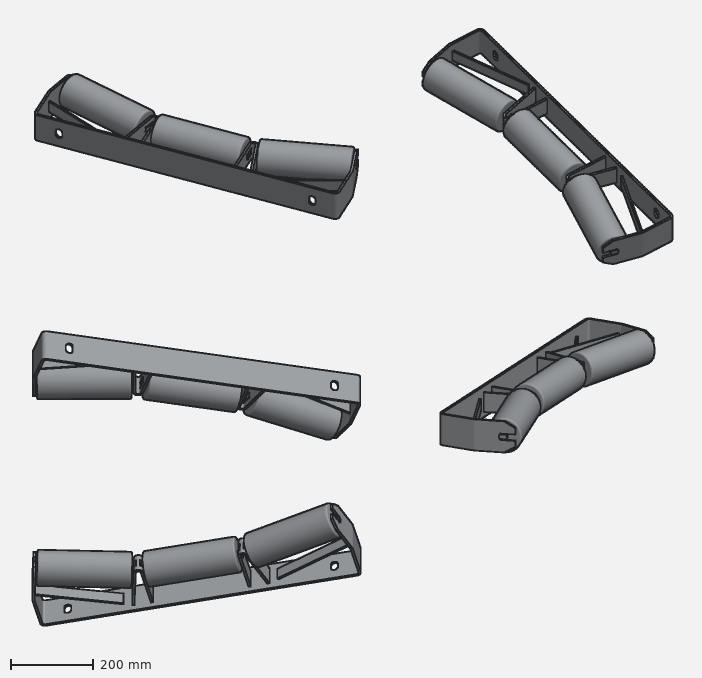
import cadquery as cq
import math

frame_length = 800.0
strip_width = 80.0
thickness = 6.0
half_length = frame_length / 2

tilt = 15.0
roller_diameter = 89.0
roller_length = 230.0
roller_edge_fillet = 5.0
axle_diameter = 20.0
axle_flat_width = 12.0
axle_slot_width = 17.0
shoulder_gap = 2.0
support_gap = 238.0
middle_axis_y = 98.0
side_center_x = 261.0
side_center_y = 134.0

corner_radius = 12.0
cheek_above_axis = 30.0
cheek_chamfer_along = 26.0
cheek_chamfer_across = 15.0
mount_slot_x = 333.0
mount_slot_width = 18.0
mount_slot_length = 27.0

bracket_width = 50.0
bracket_top_y = 126.0

brace_width = 32.0
brace_thickness = 5.0
brace_wall_y = 88.0
brace_angle = 21.6

sin_tilt = math.sin(math.radians(tilt))
cos_tilt = math.cos(math.radians(tilt))
tan_tilt = math.tan(math.radians(tilt))
half_gap = support_gap / 2
axle_length = support_gap + 2 * thickness


def side_point(along, across):
    """Point (x, y) on the right: along the tilted roller axis (outwards) and across it (upwards)."""
    x = side_center_x + along * cos_tilt - across * sin_tilt
    y = side_center_y + along * sin_tilt + across * cos_tilt
    return (x, y)


def place_right(body):
    """Move a body from the untilted, centred roller position to the right roller position."""
    turned = body.rotate((0, 0, 0), (0, 0, 1), tilt)
    return turned.translate((side_center_x, side_center_y, 0))


def extrude_strip(outline, width):
    return outline.close().extrude(width / 2, both=True)


def mirrored(body):
    return body.mirror("YZ")


def make_rod(diameter, length):
    """Cylinder along X, centred on the origin."""
    profile = cq.Workplane(cq.Plane(origin=(-length / 2, 0, 0), xDir=(0, 0, 1), normal=(1, 0, 0)))
    return profile.circle(diameter / 2).extrude(length)


def make_flattened_rod(width):
    """Axle-sized rod that reaches through both support plates, with flats at Z = +-width / 2."""
    rod = make_rod(axle_diameter, axle_length)
    return rod.intersect(cq.Workplane("XY").box(axle_length, axle_diameter, width))


def make_roller():
    shell = make_rod(roller_diameter, roller_length).edges("%CIRCLE").fillet(roller_edge_fillet)
    round_axle = make_rod(axle_diameter, support_gap - 2 * shoulder_gap)
    return shell.union(round_axle).union(make_flattened_rod(axle_flat_width))


def make_axle_slots(open_length):
    """Cutter for the slots, open upwards (+Y), that hold both ends of an axle."""
    channel = cq.Workplane("XY").box(
        axle_length, open_length, axle_slot_width, centered=(True, False, True)
    )
    return make_flattened_rod(axle_slot_width).union(channel)


def make_cheek_trim():
    """Cutters for the two bevelled corners at the free end of the right cheek."""
    trim = cq.Workplane("YZ", origin=(half_gap - thickness, 0, 0))
    edge = strip_width / 2
    for side in (1, -1):
        trim = trim.polyline([
            (cheek_above_axis, side * edge),
            (cheek_above_axis - cheek_chamfer_along, side * edge),
            (cheek_above_axis, side * (edge - cheek_chamfer_across)),
        ]).close()
    return place_right(trim.extrude(3 * thickness))


def round_bend(strip, corner, radius):
    """Round the strip edge parallel to Z that passes through an (x, y) corner."""
    edge_finder = cq.selectors.NearestToPointSelector((corner[0], corner[1], 0))
    return strip.edges(edge_finder).fillet(radius)


def make_frame():
    inner_x = half_length - thickness
    outer_along = half_gap + thickness
    outer_bend_y = side_center_y + (outer_along - (half_length - side_center_x) * cos_tilt) / sin_tilt
    inner_bend_y = side_center_y + (half_gap - (inner_x - side_center_x) * cos_tilt) / sin_tilt
    outer_tip = side_point(outer_along, cheek_above_axis)
    inner_tip = side_point(half_gap, cheek_above_axis)

    half_outline = (
        cq.Workplane("XY")
        .moveTo(0, 0)
        .lineTo(half_length - corner_radius, 0)
        .radiusArc((half_length, corner_radius), -corner_radius)
        .lineTo(half_length, outer_bend_y)
        .lineTo(*outer_tip)
        .lineTo(*inner_tip)
        .lineTo(inner_x, inner_bend_y)
        .lineTo(inner_x, corner_radius)
        .radiusArc((half_length - corner_radius, thickness), corner_radius - thickness)
        .lineTo(0, thickness)
    )
    half = extrude_strip(half_outline, strip_width)
    half = round_bend(half, (half_length, outer_bend_y), corner_radius)
    half = round_bend(half, (inner_x, inner_bend_y), corner_radius - thickness)
    half = half.cut(make_cheek_trim())
    half = half.cut(place_right(make_axle_slots(2 * cheek_above_axis)))
    frame = half.union(mirrored(half))

    mount_slots = (
        cq.Workplane("XZ")
        .pushPoints([(-mount_slot_x, 0), (mount_slot_x, 0)])
        .slot2D(mount_slot_length, mount_slot_width, 90)
        .extrude(-thickness)
    )
    return frame.cut(mount_slots)


def make_bracket():
    """Right bracket: upright leg for the middle roller, bend, tilted leg for the side roller."""
    upright_inner = half_gap
    upright_outer = half_gap + thickness
    tilted_face_x = side_center_x - half_gap / cos_tilt + (side_center_y - bracket_top_y) * tan_tilt
    outer_radius = (tilted_face_x - upright_inner) * cos_tilt / (1 + cos_tilt - sin_tilt)
    inner_radius = outer_radius - thickness
    bend_x = upright_inner + outer_radius
    bend_y = bracket_top_y - outer_radius

    foot_across = (thickness - side_center_y + (half_gap + thickness) * sin_tilt) / cos_tilt
    roller_side_foot = side_point(-half_gap, foot_across)
    bend_side_foot = side_point(-half_gap - thickness, foot_across)

    outline = (
        cq.Workplane("XY")
        .moveTo(upright_inner, thickness)
        .lineTo(upright_inner, bend_y)
        .threePointArc(
            (bend_x, bracket_top_y),
            (bend_x + outer_radius * cos_tilt, bend_y + outer_radius * sin_tilt),
        )
        .lineTo(*roller_side_foot)
        .lineTo(*bend_side_foot)
        .lineTo(bend_x + inner_radius * cos_tilt, bend_y + inner_radius * sin_tilt)
        .threePointArc((bend_x, bend_y + inner_radius), (upright_outer, bend_y))
        .lineTo(upright_outer, thickness)
    )
    bracket = extrude_strip(outline, bracket_width)
    middle_slots = make_axle_slots(bracket_top_y).translate((0, middle_axis_y, 0))
    bracket = bracket.cut(middle_slots)
    return bracket.cut(place_right(make_axle_slots(bracket_top_y)))


def make_brace():
    """Right brace: flat bar from the side wall down to the base plate."""
    slope = math.radians(brace_angle)
    rise = brace_thickness / 2 / math.cos(slope)
    wall_x = half_length - thickness
    foot_x = wall_x - (brace_wall_y - rise - thickness) / math.tan(slope)
    outline = cq.Workplane("XY").polyline([
        (wall_x, brace_wall_y + rise),
        (foot_x - brace_thickness * math.sin(slope), thickness + brace_thickness * math.cos(slope)),
        (foot_x, thickness),
        (wall_x, brace_wall_y - rise),
    ])
    return extrude_strip(outline, brace_width)


frame = make_frame()
right_bracket = make_bracket()
right_brace = make_brace()
middle_roller = make_roller().translate((0, middle_axis_y, 0))
right_roller = place_right(make_roller())

bodies = [frame, middle_roller]
for right_body in (right_bracket, right_brace, right_roller):
    bodies.append(right_body)
    bodies.append(mirrored(right_body))

result = cq.Compound.makeCompound([body.val() for body in bodies])